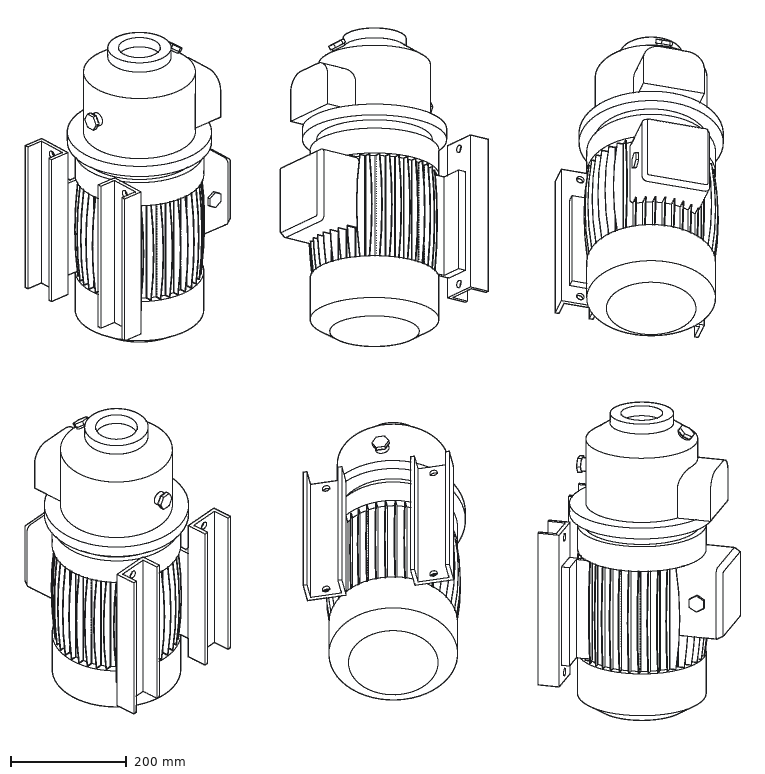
import cadquery as cq
import math

fan_cover_chamfer_top = 21.5
fins_bottom = 98.5
fins_top = 288.0
neck_bottom = 333.5
flange_bottom = 353.0
flange_top = 373.0
cone_bottom = 491.5
cone_top = 520.5
total_height = 539.0

motor_radius = 111.5
fan_cover_end_radius = 77.5
core_radius = 98.5
neck_radius = 100.0
flange_radius = 125.0

fin_sides = 4
fins_per_side = 10
fin_spacing_radius = 107.0
fin_crest_reach = 110.0
fin_envelope_radius = 99.5
fin_bulge = 7.0
fin_thickness = 1.5

foot_top = -97.0
foot_bottom = -motor_radius
foot_inner_x = 64.5
foot_outer_x = 114.0
foot_web_thickness = 7.0
foot_web_top = -66.5
foot_end_gap = 4.0

rail_centre_x = 95.0
rail_width = 68.5
rail_depth = 38.0
rail_wall = 7.0
rail_bottom = 67.5
rail_length = 280.5
rail_hole_diameter = 13.0
rail_hole_inset = 15.5

terminal_box_width = 122.0
terminal_box_front = 162.0
terminal_box_bottom = 156.0
terminal_box_edge_radius = 9.5
terminal_box_chamfer_depth = 11.0
terminal_box_chamfer_inset = 6.5

hex_across_flats = 26.0
hex_across_corners = hex_across_flats / math.cos(math.radians(30))
gland_y = 117.5
gland_length = 5.0

pump_radius = 97.0
collar_radius = 55.0
bore_radius = 36.0
bore_depth = total_height - cone_top
connection_box_width = 110.0
connection_box_front = 139.5
connection_box_height = 83.5
connection_box_edge_radius = 30.5

plug_head_thickness = 7.0
plug_shank_diameter = 23.5
plug_shank_embedding = 5.5
side_plug_z = 433.5
side_plug_standoff = 16.5
cone_plug_standoff = 10.0


def box_between(x0, x1, y0, y1, z0, z1):
    """Box given by its lower and upper limits along each axis."""
    return cq.Workplane("XY").box(x1 - x0, y1 - y0, z1 - z0, centered=False).translate((x0, y0, z0))


def revolved(profile):
    """Solid of revolution about Z from (radius, height) points."""
    return cq.Workplane("XZ").polyline(profile).close().revolve(360, (0, 0), (0, 1))




def motor_core():
    return revolved([
        (0, 0),
        (fan_cover_end_radius, 0),
        (motor_radius, fan_cover_chamfer_top),
        (motor_radius, fins_bottom),
        (core_radius, fins_bottom),
        (core_radius, fins_top),
        (motor_radius, fins_top),
        (motor_radius, neck_bottom),
        (neck_radius, neck_bottom),
        (neck_radius, flange_bottom),
        (flange_radius, flange_bottom),
        (flange_radius, flange_top),
        (0, flange_top),
    ])


def fin(offset):
    """Upright plate on the +X side, its outer edge bowed outward, at the given offset along Y.

    The fin ends of one side lie on an arc whose crest is on the X axis.
    """
    root = core_radius / 2
    drop = fin_envelope_radius - math.sqrt(fin_envelope_radius**2 - offset**2)
    tip = fin_crest_reach - drop
    return (
        cq.Workplane("XZ", origin=(0, offset, 0))
        .moveTo(root, fins_bottom)
        .lineTo(tip, fins_bottom)
        .threePointArc((tip + fin_bulge, (fins_bottom + fins_top) / 2), (tip, fins_top))
        .lineTo(root, fins_top)
        .close()
        .extrude(fin_thickness / 2, both=True)
    )


def cooling_fins():
    """Four groups of parallel fins, placed at equal angles on the spacing radius."""
    quarter_turn = 360 / fin_sides
    pitch = quarter_turn / fins_per_side
    fins = []
    for side in range(fin_sides):
        for index in range(fins_per_side):
            angle = math.radians((index - (fins_per_side - 1) / 2) * pitch)
            plate = fin(fin_spacing_radius * math.sin(angle))
            fins.append(plate.rotate((0, 0, 0), (0, 0, 1), quarter_turn * side))
    return fins


def foot():
    """Foot on the +X side: a pad below an upright web that joins the motor core."""
    z0 = fins_bottom + foot_end_gap
    z1 = fins_top - foot_end_gap
    pad = box_between(foot_inner_x, foot_outer_x, foot_bottom, foot_top, z0, z1)
    web_outer_x = foot_inner_x + foot_web_thickness
    web = box_between(foot_inner_x, web_outer_x, foot_bottom, foot_web_top, z0, z1)
    return pad.union(web)


def rail():
    """Channel on the +X side, open toward -Y, with a bolt hole near each end."""
    x0 = rail_centre_x - rail_width / 2
    x1 = rail_centre_x + rail_width / 2
    y0 = foot_bottom - rail_depth
    z1 = rail_bottom + rail_length
    channel = box_between(x0, x1, y0, foot_bottom, rail_bottom, z1)
    groove = box_between(x0 + rail_wall, x1 - rail_wall, y0, foot_bottom - rail_wall, rail_bottom, z1)
    channel = channel.cut(groove)
    for z in (rail_bottom + rail_hole_inset, z1 - rail_hole_inset):
        hole = (
            cq.Workplane("XZ", origin=(rail_centre_x, foot_bottom, z))
            .circle(rail_hole_diameter / 2)
            .extrude(rail_depth)
        )
        channel = channel.cut(hole)
    return channel


def terminal_box():
    half_width = terminal_box_width / 2
    box = box_between(-half_width, half_width, 0, terminal_box_front, terminal_box_bottom, fins_top)
    box = box.edges("|Y").fillet(terminal_box_edge_radius)
    front_edges = box.faces(">Y").edges().vals()
    chamfered = box.val().chamfer(terminal_box_chamfer_inset, terminal_box_chamfer_depth, front_edges)
    return cq.Workplane(chamfered)


def cable_gland():
    """Hexagonal gland on the +X side of the terminal box, one corner pointing up."""
    middle_z = (terminal_box_bottom + fins_top) / 2
    side = cq.Plane(origin=(terminal_box_width / 2, gland_y, middle_z), xDir=(0, 0, 1), normal=(1, 0, 0))
    return cq.Workplane(side).polygon(6, hex_across_corners).extrude(gland_length)


def build_motor():
    motor = motor_core()
    for plate in cooling_fins():
        motor = motor.union(plate)
    motor = motor.union(terminal_box()).union(cable_gland())
    support = foot().union(rail())
    return motor.union(support).union(support.mirror("YZ"))




def pump_casing():
    casing = revolved([
        (0, flange_top),
        (pump_radius, flange_top),
        (pump_radius, cone_bottom),
        (collar_radius, cone_top),
        (collar_radius, total_height),
        (0, total_height),
    ])
    return casing.faces(">Z").workplane().circle(bore_radius).cutBlind(-bore_depth)


def connection_box():
    """Box at the back of the pump with both upper edges rounded."""
    half_width = connection_box_width / 2
    top = flange_top + connection_box_height
    box = box_between(-half_width, half_width, 0, connection_box_front, flange_top, top)
    return box.edges("|Y and >Z").fillet(connection_box_edge_radius)


def plug(seat, direction, standoff):
    """Hexagon-head plug standing out of the casing surface at the seat point."""
    plane = cq.Plane(origin=seat, xDir=(1, 0, 0), normal=direction)
    seated = cq.Workplane(plane)
    shank = (
        seated.workplane(offset=-plug_shank_embedding)
        .circle(plug_shank_diameter / 2)
        .extrude(plug_shank_embedding + standoff)
    )
    head = (
        seated.workplane(offset=standoff - plug_head_thickness)
        .polygon(6, hex_across_corners)
        .extrude(plug_head_thickness)
    )
    return shank.union(head)


def build_pump():
    side_plug = plug((0, -pump_radius, side_plug_z), (0, -1, 0), side_plug_standoff)
    cone_middle = (0, (pump_radius + collar_radius) / 2, (cone_bottom + cone_top) / 2)
    cone_normal = (0, cone_top - cone_bottom, pump_radius - collar_radius)
    cone_plug = plug(cone_middle, cone_normal, cone_plug_standoff)
    return connection_box().union(pump_casing()).union(side_plug).union(cone_plug)


motor = build_motor()
pump = build_pump()
result = cq.Compound.makeCompound([motor.val(), pump.val()])